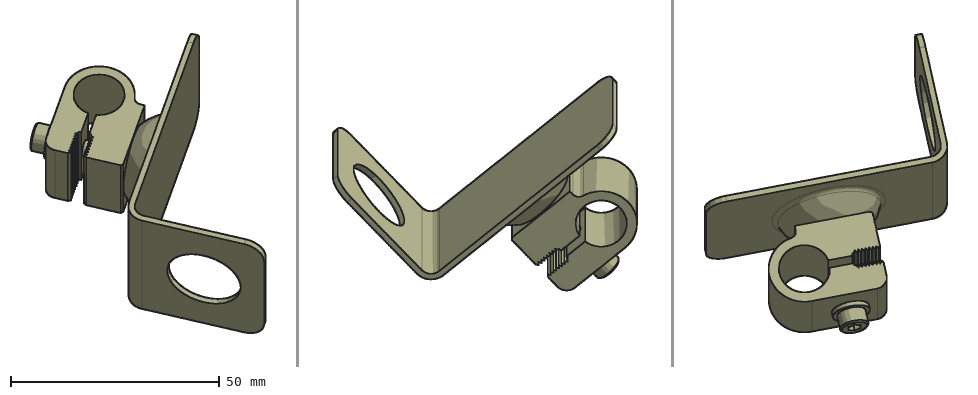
import cadquery as cq
import math


wall_length = 60.0
flange_length = 35.0
bracket_height = 35.0
sheet_thickness = 1.5
bend_inner_radius = 3.0
bend_outer_radius = bend_inner_radius + sheet_thickness
plate_corner_radius = 5.0
mount_hole_diameter = 18.35
mount_hole_x = 20.0

dome_radius = 13.65
dome_center_x = 4.25
dome_fillet_radius = 1.4
dome_height = 6.2

block_size = 19.0
block_half = block_size / 2
clamp_width = 20.0
clamp_right_x = -dome_height
clamp_left_x = clamp_right_x - clamp_width
clamp_round_radius = 8.6
bore_diameter = 12.25
bore_x = clamp_left_x + clamp_round_radius
bore_y = block_half
shoulder_fillet_radius = 2.0
front_corner_radius = 3.0
back_corner_chamfer = 0.5

slot_width = 2.0
serrated_start_y = -2.5
serrated_gap = 3.1
groove_count = 8
first_tip_y = -2.85
groove_pitch = (block_half + first_tip_y) / (groove_count - 0.5)
groove_depth = 0.7

overall_length = 66.2
bolt_tip_x = flange_length - overall_length
bolt_head_diameter = 7.0
bolt_head_chamfer = 0.4
shank_diameter = 4.05
washer_diameter = 9.15
washer_thickness = 1.1
socket_across_flats = 3.0
socket_depth = 2.0


def make_bracket():
    wall_front_y = -wall_length / 2
    wall = cq.Workplane("XY").box(
        sheet_thickness, wall_length, bracket_height, centered=(False, True, True)
    )
    wall = wall.edges(">Y and |X").fillet(plate_corner_radius)
    flange = (
        cq.Workplane("XY")
        .box(flange_length, sheet_thickness, bracket_height, centered=(False, False, True))
        .translate((0, wall_front_y, 0))
        .edges(">X and |Y")
        .fillet(plate_corner_radius)
    )
    bracket = wall.union(flange)
    inner_corner = cq.selectors.NearestToPointSelector(
        (sheet_thickness, wall_front_y + sheet_thickness, 0)
    )
    bracket = bracket.edges(inner_corner).fillet(bend_inner_radius)
    outer_corner = cq.selectors.NearestToPointSelector((0, wall_front_y, 0))
    bracket = bracket.edges(outer_corner).fillet(bend_outer_radius)
    hole = (
        cq.Workplane("XZ", origin=(mount_hole_x, wall_front_y, 0))
        .circle(mount_hole_diameter / 2)
        .extrude(sheet_thickness, both=True)
    )
    return bracket.cut(hole)


def make_dome():
    """Spherical cap with a flat top and a concave fillet where it meets the wall."""
    fillet_center_reach = dome_radius + dome_fillet_radius
    tangent_angle = math.acos((dome_center_x + dome_fillet_radius) / fillet_center_reach)
    top_angle = math.acos((dome_center_x + dome_height) / dome_radius)
    base_radius = fillet_center_reach * math.sin(tangent_angle)

    def sphere_point(angle):
        return (
            dome_center_x - dome_radius * math.cos(angle),
            dome_radius * math.sin(angle),
        )

    fillet_mid_angle = tangent_angle / 2
    fillet_mid = (
        -dome_fillet_radius + dome_fillet_radius * math.cos(fillet_mid_angle),
        base_radius - dome_fillet_radius * math.sin(fillet_mid_angle),
    )
    return (
        cq.Workplane("XY")
        .moveTo(sheet_thickness / 2, 0)
        .lineTo(-dome_height, 0)
        .lineTo(*sphere_point(top_angle))
        .threePointArc(sphere_point((top_angle + tangent_angle) / 2), sphere_point(tangent_angle))
        .threePointArc(fillet_mid, (0, base_radius))
        .lineTo(sheet_thickness / 2, base_radius)
        .close()
        .revolve(360, (0, 0, 0), (1, 0, 0))
    )


def make_clamp_body():
    """Block with a rounded end around the bore, blended into its back shoulder."""
    blend_reach = clamp_round_radius + shoulder_fillet_radius
    blend_center_x = bore_x + math.sqrt(blend_reach**2 - shoulder_fillet_radius**2)
    blend_center_y = block_half + shoulder_fillet_radius
    blend_angle = math.asin(shoulder_fillet_radius / blend_reach)
    blend_start = (
        bore_x + clamp_round_radius * math.cos(blend_angle),
        bore_y + clamp_round_radius * math.sin(blend_angle),
    )
    blend_mid_angle = (math.pi + blend_angle + 1.5 * math.pi) / 2
    blend_mid = (
        blend_center_x + shoulder_fillet_radius * math.cos(blend_mid_angle),
        blend_center_y + shoulder_fillet_radius * math.sin(blend_mid_angle),
    )
    body = (
        cq.Workplane("XY", origin=(0, 0, -block_half))
        .moveTo(clamp_left_x, -block_half)
        .lineTo(clamp_left_x, bore_y)
        .threePointArc((bore_x, bore_y + clamp_round_radius), blend_start)
        .threePointArc(blend_mid, (blend_center_x, block_half))
        .lineTo(clamp_right_x, block_half)
        .lineTo(clamp_right_x, -block_half)
        .close()
        .extrude(block_size)
    )
    body = body.edges("|Z and <X and <Y").fillet(front_corner_radius)
    return body.edges("|Z and >X and <Y").chamfer(back_corner_chamfer)


def make_slot_cutter():
    """Bore, plain slot and toothed mouth as one cutter."""
    cutter_plane = cq.Workplane("XY", origin=(0, 0, -block_half))
    bore = cutter_plane.center(bore_x, bore_y).circle(bore_diameter / 2).extrude(block_size)
    plain_slot_length = bore_y - serrated_start_y
    plain_slot = (
        cutter_plane.center(bore_x, bore_y - plain_slot_length / 2)
        .rect(slot_width, plain_slot_length)
        .extrude(block_size)
    )

    tip_offset = serrated_gap / 2
    root_offset = tip_offset + groove_depth
    side = [(tip_offset, serrated_start_y)]
    for groove in reversed(range(groove_count)):
        root_y = -block_half + groove * groove_pitch
        side.append((tip_offset, root_y + groove_pitch / 2))
        side.append((root_offset, root_y))
    right_side = [(bore_x + offset, y) for offset, y in side]
    left_side = [(bore_x - offset, y) for offset, y in reversed(side)]
    toothed_mouth = cutter_plane.polyline(right_side + left_side).close().extrude(block_size)
    return bore.union(plain_slot).union(toothed_mouth)


def cylinder_along_x(start_x, end_x, diameter):
    return cq.Workplane("YZ", origin=(start_x, 0, 0)).circle(diameter / 2).extrude(end_x - start_x)


def make_bolt():
    head = cylinder_along_x(bolt_tip_x, clamp_left_x, bolt_head_diameter)
    head = head.faces("<X").chamfer(bolt_head_chamfer)
    socket_across_corners = socket_across_flats / math.cos(math.pi / 6)
    socket = (
        cq.Workplane("YZ", origin=(bolt_tip_x, 0, 0))
        .transformed(rotate=(0, 0, 90))
        .polygon(6, socket_across_corners)
        .extrude(socket_depth)
    )
    washer = cylinder_along_x(clamp_left_x - washer_thickness, clamp_left_x, washer_diameter)
    shank = cylinder_along_x(clamp_left_x, clamp_right_x, shank_diameter)
    return head.cut(socket).union(washer).union(shank)


clamp = make_clamp_body().cut(make_slot_cutter())
result = make_bracket().union(make_dome()).union(clamp).union(make_bolt())